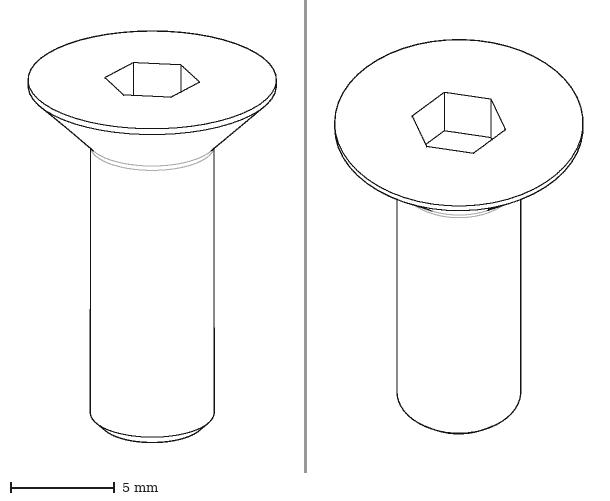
import cadquery as cq
import math

total_length = 18
shank_diameter = 6.0
head_diameter = 12.0
rim_height = 0.3
tip_chamfer = 0.5
neck_fillet = 0.4
socket_across_flats = 4.0
socket_depth = 2.5

shank_radius = shank_diameter / 2
head_radius = head_diameter / 2
rim_bottom = total_length - rim_height
neck_height = rim_bottom - (head_radius - shank_radius)


def screw_body():
    """Revolve the half profile, then round the neck under the head."""
    body = (
        cq.Workplane("XZ")
        .lineTo(shank_radius - tip_chamfer, 0)
        .lineTo(shank_radius, tip_chamfer)
        .lineTo(shank_radius, neck_height)
        .lineTo(head_radius, rim_bottom)
        .lineTo(head_radius, total_length)
        .lineTo(0, total_length)
        .close()
        .revolve(360, (0, 0, 0), (0, 1, 0))
    )
    neck_edge = cq.selectors.BoxSelector(
        (-head_radius, -head_radius, neck_height - rim_height),
        (head_radius, head_radius, neck_height + rim_height),
    )
    return body.edges("%CIRCLE").edges(neck_edge).fillet(neck_fillet)


def hex_socket():
    """Blind hexagon with two flats facing +X and -X."""
    across_corners = socket_across_flats / math.cos(math.radians(30))
    return (
        cq.Workplane("XY", origin=(0, 0, total_length - socket_depth))
        .transformed(rotate=(0, 0, 90))
        .polygon(6, across_corners)
        .extrude(socket_depth)
    )


result = screw_body().cut(hex_socket())